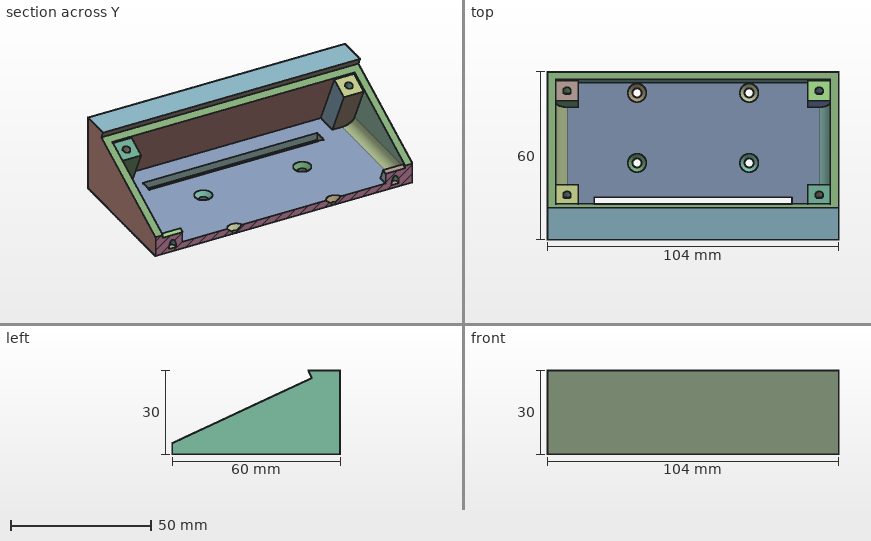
import cadquery as cq
import math


WIDTH = 104.0
DEPTH = 60.0
HEIGHT = 30.0
SLOPE_ANGLE = 25.0
SLOPE_LENGTH = 55.0
LIP_DEPTH = 3.0

WALL = 3.0
FLOOR_THICKNESS = 3.0
FLOOR_FILLET = 4.0

POST_SIZE = 8.0
POST_RECESS = 1.0
POST_HOLE_DIAMETER = 2.8
POST_HOLE_DEPTH = 5.0

SCREW_SPACING_X = 40.0
SCREW_SPACING_Y = 25.0
SCREW_REAR_OFFSET = 7.5
SCREW_DIAMETER = 3.2
SCREW_HEAD_DIAMETER = 6.6
SCREW_HEAD_ANGLE = 90.0

SLOT_LENGTH = 70.5
SLOT_WIDTH = 5.0
SLOT_REAR = 15.2

SINE = math.sin(math.radians(SLOPE_ANGLE))
COSINE = math.cos(math.radians(SLOPE_ANGLE))

REAR_HEIGHT = HEIGHT - LIP_DEPTH * COSINE - SLOPE_LENGTH * SINE

CAVITY_WIDTH = WIDTH - 2 * WALL
CAVITY_REAR = WALL
CAVITY_FRONT = SLOPE_LENGTH - WALL
CAVITY_LENGTH = CAVITY_FRONT - CAVITY_REAR


def slope_point(distance, depth=0.0):
    """(Y, Z) at a distance up the slope from the rear edge and a depth square below the slope."""
    y = DEPTH - distance * COSINE - depth * SINE
    z = REAR_HEIGHT + distance * SINE - depth * COSINE
    return y, z


def slope_point_at_floor(distance):
    """(Y, Z) where a line square to the slope, starting at a distance up it, meets the floor."""
    rim_z = slope_point(distance)[1]
    return slope_point(distance, (rim_z - FLOOR_THICKNESS) / COSINE)


def extrude_across(points, width):
    """Prism of a (Y, Z) outline, centred on X = 0."""
    return cq.Workplane("YZ").polyline(points).close().extrude(width / 2, both=True)


def make_wedge():
    outline = [
        (0, 0),
        (DEPTH, 0),
        (DEPTH, REAR_HEIGHT),
        slope_point(SLOPE_LENGTH),
        slope_point(SLOPE_LENGTH, -LIP_DEPTH),
        (0, HEIGHT),
    ]
    return extrude_across(outline, WIDTH)


def make_cavity():
    """Cavity with rounded lower side edges, opened to full width down to the post-top plane."""
    outline = [
        slope_point_at_floor(CAVITY_REAR),
        slope_point(CAVITY_REAR),
        slope_point(CAVITY_FRONT),
        slope_point_at_floor(CAVITY_FRONT),
    ]
    prism = extrude_across(outline, CAVITY_WIDTH)

    rounded_tunnel = (
        cq.Workplane("XY")
        .box(CAVITY_WIDTH, DEPTH, HEIGHT, centered=(True, False, False))
        .edges("|Y and <Z")
        .fillet(FLOOR_FILLET)
        .translate((0, 0, FLOOR_THICKNESS))
    )

    recess_outline = [
        slope_point(CAVITY_REAR, POST_RECESS),
        slope_point(CAVITY_REAR),
        slope_point(CAVITY_FRONT),
        slope_point(CAVITY_FRONT, POST_RECESS),
    ]
    recess = extrude_across(recess_outline, CAVITY_WIDTH)
    return prism.intersect(rounded_tunnel).union(recess)


def make_posts():
    """Square posts below the post-top plane, reaching down to the floor in each cavity corner."""
    posts = cq.Workplane("XY")
    for start in (CAVITY_REAR, CAVITY_FRONT - POST_SIZE):
        end = start + POST_SIZE
        outline = [
            slope_point_at_floor(start),
            slope_point(start, POST_RECESS),
            slope_point(end, POST_RECESS),
            slope_point_at_floor(end),
        ]
        outer_span = extrude_across(outline, CAVITY_WIDTH)
        middle_gap = extrude_across(outline, CAVITY_WIDTH - 2 * POST_SIZE)
        posts = posts.add(outer_span.cut(middle_gap))
    return posts.combine()


def make_post_holes():
    """Blind holes square to the slope, one in the middle of each post."""
    middle_y, middle_z = slope_point(CAVITY_REAR + CAVITY_LENGTH / 2, POST_RECESS)
    post_tops = cq.Plane(origin=(0, middle_y, middle_z), xDir=(1, 0, 0), normal=(0, SINE, COSINE))
    return (
        cq.Workplane(post_tops)
        .rect(CAVITY_WIDTH - POST_SIZE, CAVITY_LENGTH - POST_SIZE, forConstruction=True)
        .vertices()
        .circle(POST_HOLE_DIAMETER / 2)
        .extrude(-POST_HOLE_DEPTH)
    )


def cut_screw_holes(body):
    middle_y = DEPTH - SCREW_REAR_OFFSET - SCREW_SPACING_Y / 2
    return (
        body.copyWorkplane(cq.Workplane("XY", origin=(0, middle_y, FLOOR_THICKNESS)))
        .rect(SCREW_SPACING_X, SCREW_SPACING_Y, forConstruction=True)
        .vertices()
        .cskHole(SCREW_DIAMETER, SCREW_HEAD_DIAMETER, SCREW_HEAD_ANGLE, depth=FLOOR_THICKNESS)
    )


def make_floor_slot():
    return (
        cq.Workplane("XY", origin=(0, SLOT_REAR - SLOT_WIDTH, 0))
        .box(SLOT_LENGTH, SLOT_WIDTH, FLOOR_THICKNESS, centered=(True, False, False))
    )


result = make_wedge().cut(make_cavity().cut(make_posts()))
result = result.cut(make_post_holes())
result = cut_screw_holes(result)
result = result.cut(make_floor_slot())